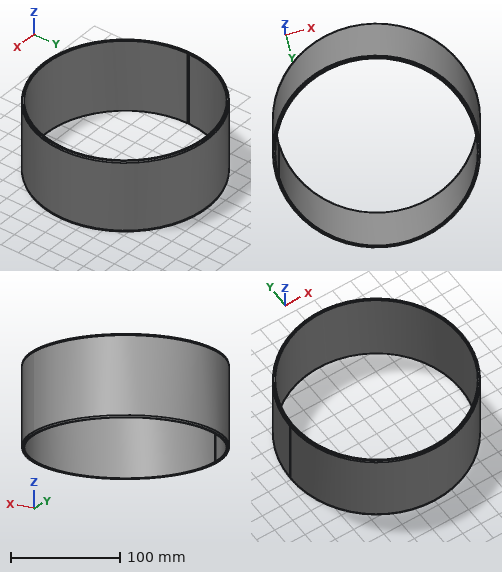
import cadquery as cq
import math

outer_diameter = 190.0
height = 80.0
wall = 2.5
slit_width = 1.65

outer_bevel_height = 1.8
outer_bevel_angle = 20.0
inner_bevel_height = 0.6
inner_bevel_angle = 30.0

outer_radius = outer_diameter / 2
inner_radius = outer_radius - wall
outer_bevel_depth = outer_bevel_height * math.tan(math.radians(outer_bevel_angle))
inner_bevel_depth = inner_bevel_height * math.tan(math.radians(inner_bevel_angle))


def band():
    """Revolve the wall cross-section, bevelled at its four corners, fully around Z."""
    outer_rim_radius = outer_radius - outer_bevel_depth
    inner_rim_radius = inner_radius + inner_bevel_depth
    outline = [
        (outer_rim_radius, 0),
        (inner_rim_radius, 0),
        (inner_radius, inner_bevel_height),
        (inner_radius, height - inner_bevel_height),
        (inner_rim_radius, height),
        (outer_rim_radius, height),
        (outer_radius, height - outer_bevel_height),
        (outer_radius, outer_bevel_height),
    ]
    axis_start = (0, 0, 0)
    axis_end = (0, 1, 0)
    return cq.Workplane("XZ").polyline(outline).close().revolve(360, axis_start, axis_end)


def slit_cutter():
    """Full-height block through the -X wall, with one face on the XZ plane and the rest at +Y."""
    block = cq.Workplane("XY").box(outer_radius, slit_width, height, centered=False)
    return block.translate((-outer_radius, 0, 0))


result = band().cut(slit_cutter())